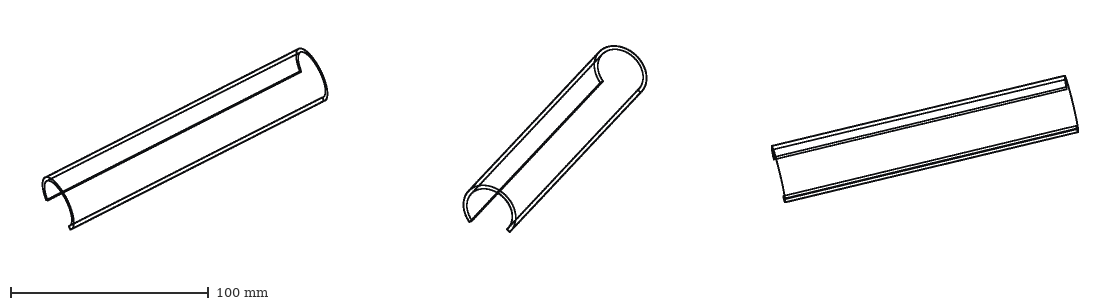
import cadquery as cq
import math

length = 152.4
outer_diameter = 29.4
wall = 2.0
opening_angle = 100.0

outer_radius = outer_diameter / 2
inner_radius = outer_radius - wall
half_opening = math.radians(opening_angle / 2)


def lip_point(radius, side):
    """Point on the lip at the given radius; side is -1 for -X, +1 for +X."""
    return (side * radius * math.sin(half_opening), -radius * math.cos(half_opening))


result = (
    cq.Workplane("XZ")
    .moveTo(*lip_point(outer_radius, -1))
    .threePointArc((0, outer_radius), lip_point(outer_radius, 1))
    .lineTo(*lip_point(inner_radius, 1))
    .threePointArc((0, inner_radius), lip_point(inner_radius, -1))
    .close()
    .extrude(length / 2, both=True)
)